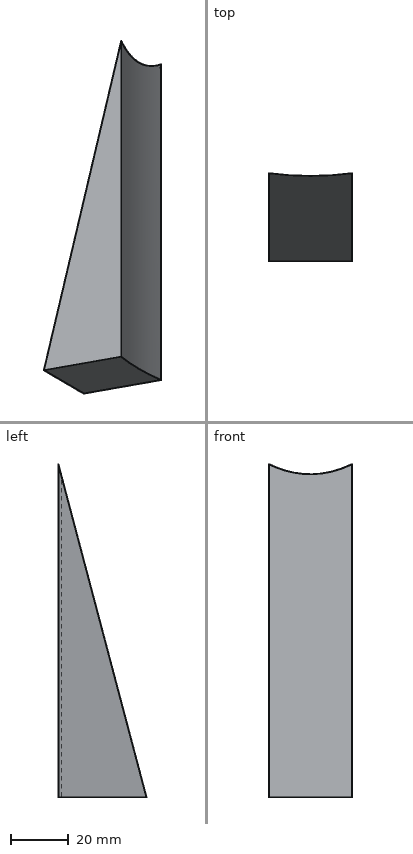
import cadquery as cq

width = 29.0
depth = 30.67
height = 115.91

hollow_depth = 0.93
half_width = width / 2
hollow_radius = (half_width**2 + hollow_depth**2) / (2 * hollow_depth)


def make_wedge():
    """Right-triangular wedge with a flat base, upright rear face and sloping front face."""
    return (
        cq.Workplane("YZ")
        .polyline([(0, 0), (depth, 0), (depth, height)])
        .close()
        .extrude(half_width, both=True)
    )


def make_rear_cylinder():
    """Vertical cylinder that passes through both rear corners of the wedge."""
    axis_y = depth + hollow_radius - hollow_depth
    return cq.Workplane("XY").center(0, axis_y).circle(hollow_radius).extrude(height)


result = make_wedge().cut(make_rear_cylinder())